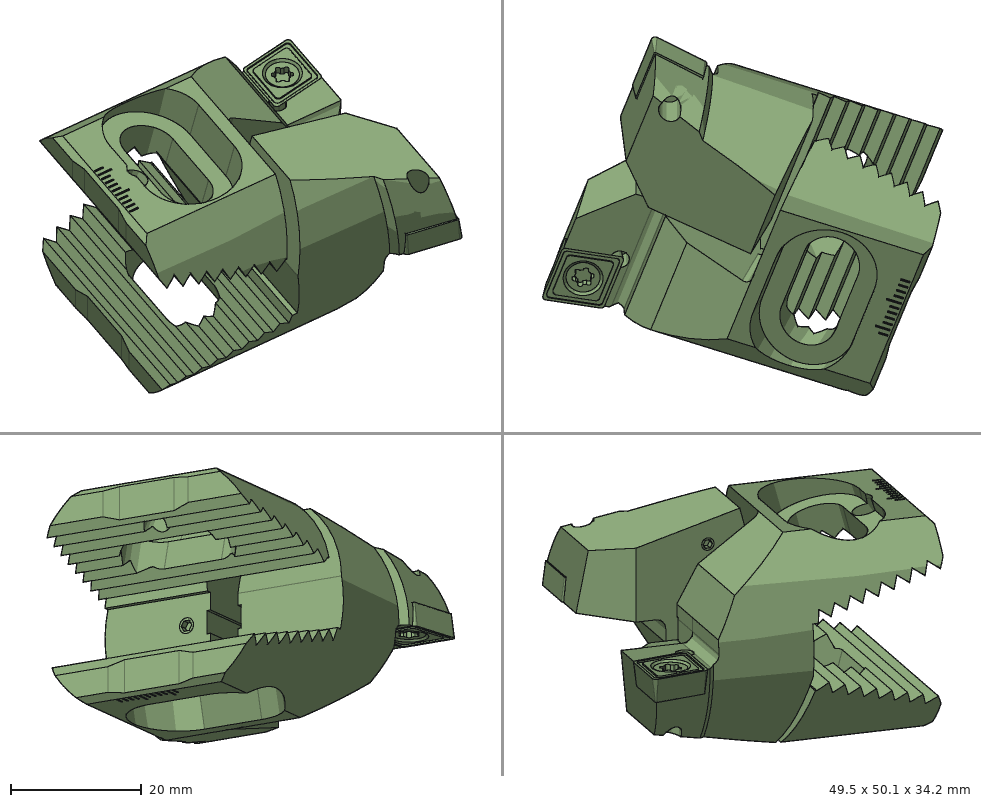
import cadquery as cq
import math


TILT = 15.0
SLOPE = math.tan(math.radians(TILT))
HALF_HEIGHT = 17.11
BODY_RADIUS = 20.95
BODY_OFFSET = 0.45
WIDE = 60.1

JAW_LENGTH = 24.3
TIP_CHAMFER = 1.0
TIP_INNER_Z = 12.0
ROOT_LINE_Z = 12.35
TOOTH_PITCH = 2.65
TOOTH_COUNT = 8
TOOTH_CREST = 0.8
TOOTH_DEPTH = 1.95
NOTCH_DEPTH = 0.4
NOTCH_HALF_BOTTOM = 4.9
NOTCH_HALF_TOP = 7.65

SLOT_X = -1.8
SLOT_Y = 14.1
SLOT_SPACING = 10.25
SLOT_RADIUS = 4.5
RECESS_RADIUS = 7.75
RECESS_DEPTH = 3.9
DRAIN_X = -0.7
DRAIN_Y = 6.85
DRAIN_Z = 15.55
DRAIN_TILT = 32.0
DRAIN_RADIUS = 2.0

MARK_COUNT = 11
MARK_PITCH = 1.0
MARK_START_X = -3.7
MARK_WIDTH = 0.2
MARK_DEPTH = 0.15
MARK_BASE_Y = 1.3
MARK_SHORT = 1.45
MARK_LONG = 2.35
LONG_MARKS = (1, 6)

ARM_GAP = 4.9
GAP_FILLET = 1.3
PICK_MARGIN = 0.5
ROOT_Y = 22.45
ROOT_TOP_Z = 4.65
ROOT_BOTTOM_Z = -3.75
ROOT_STEP = 0.9
SHOULDER = (34.45, 10.0)
GULLET_TOP = (37.95, 3.9)
GULLET_RADIUS = 1.65
FACE_RELIEF = 8.0
FACE_HEIGHT = 10.4
CORNER_CHAMFER = 7.15
GULLY_X = -6.7
GULLY_WIDTH = 2.85
GULLY_DEPTH = 1.85
CHANNEL_DEPTH = 0.6
CHANNEL_HALF_HEIGHT = GULLY_DEPTH
CHANNEL_BLIND_END = 35.05

HEAD_OUTER = (50.6, 15.0, 9.75)
HEAD_INNER = (39.85, 19.9, 2.7)
HEAD_ROOT_Y = 38.85

EDGE_X = 24.75
FIRST_EDGE_Y = 49.8
SECOND_EDGE_Y = 50.1
INSERT_OVERHANG = 0.15
INSERT_ANGLE = 80.0
INSERT_CIRCLE = 9.5
INSERT_THICK = 3.9
INSERT_CORNER = 0.6
INSERT_RELIEF = 7.0
RIM_WIDTH = 0.45
BREAKER_WIDTH = 0.7
BREAKER_DEPTH = 0.25
POCKET_EXTRA = 1.5
CORNER_RELIEF_RADIUS = 1.45
COUNTERSINK_RADIUS = 3.05
HEAD_RADIUS = 2.6
HEAD_DEPTH = 2.0
HEAD_SETBACK = 0.3
SHANK_RADIUS = 1.7
SHANK_LENGTH = 5.5
LOBE_COUNT = 6
LOBE_ORBIT = 1.3
LOBE_RADIUS = 0.4
SOCKET_DEPTH = 1.25

PLUG_LENGTH = 3.0
ROOT_PLUG_X = -6.75
ROOT_PLUG_RADIUS = 1.25
SIDE_PLUG_Y = 31.05
SIDE_PLUG_Z = 11.25
SIDE_PLUG_RADIUS = 1.0
PLUG_SOCKET_DEPTH = 1.25
PLUG_SOCKET_RATIO = 1.5


def half_turn(shape):
    return shape.rotate((0, 0, 0), (0, 1, 0), 180)


def side_prism(points, x_start, x_end):
    """Extrude an outline given in (Y, Z) from x_start to x_end."""
    return cq.Workplane("YZ", origin=(x_start, 0, 0)).polyline(points).close().extrude(x_end - x_start)


def circle_across(y, radius, x):
    """A circle square to Y, centred at x on the level of the tool axis."""
    return cq.Wire.makeCircle(radius, cq.Vector(x, y, 0), cq.Vector(0, 1, 0))


def tooth_root(index):
    root_y = index * TOOTH_PITCH
    return root_y, ROOT_LINE_Z - root_y * SLOPE


def tooth_outline():
    """Roots and crests from the jaw tip to the mouth, as (Y, Z) points."""
    points = [(0, TIP_INNER_Z)]
    for i in range(TOOTH_COUNT):
        root_y, root_z = tooth_root(i)
        if i > 0:
            points.append((root_y, root_z))
        points.append((root_y + TOOTH_CREST, root_z - TOOTH_DEPTH))
    return points


LAST_ROOT = tooth_root(TOOTH_COUNT)


def jaw_blank():
    front_foot = (JAW_LENGTH - (HALF_HEIGHT - LAST_ROOT[1]) * SLOPE, LAST_ROOT[1])
    outline = tooth_outline() + [
        LAST_ROOT,
        front_foot,
        (JAW_LENGTH, HALF_HEIGHT),
        (TIP_CHAMFER, HALF_HEIGHT),
        (0, HALF_HEIGHT - TIP_CHAMFER),
    ]
    return side_prism(outline, -WIDE / 2, WIDE / 2)


def tip_notch():
    outline = [
        (-NOTCH_HALF_TOP, 0),
        (-NOTCH_HALF_BOTTOM, NOTCH_DEPTH),
        (NOTCH_HALF_BOTTOM, NOTCH_DEPTH),
        (NOTCH_HALF_TOP, 0),
    ]
    return cq.Workplane("XY", origin=(-BODY_OFFSET, 0, 0)).polyline(outline).close().extrude(HALF_HEIGHT)


def leaning_plane(x, y, z, angle):
    """Plane whose normal leans from +Z towards +Y by the given angle in degrees."""
    lean = math.radians(angle)
    return cq.Plane(origin=(x, y, z), xDir=(1, 0, 0), normal=(0, math.sin(lean), math.cos(lean)))


def clamp_slot():
    """Stepped slot whose axis is square to the toothed face."""
    top = leaning_plane(SLOT_X, SLOT_Y, HALF_HEIGHT, TILT)
    through = cq.Workplane(top).slot2D(SLOT_SPACING + 2 * SLOT_RADIUS, 2 * SLOT_RADIUS).extrude(-HALF_HEIGHT)
    recess = (
        cq.Workplane(top)
        .workplane(offset=-RECESS_DEPTH)
        .slot2D(SLOT_SPACING + 2 * RECESS_RADIUS, 2 * RECESS_RADIUS)
        .extrude(2 * RECESS_DEPTH)
    )
    return through.union(recess)


def drain_hole():
    """Slanted hole from the slot recess out through the teeth."""
    middle = leaning_plane(DRAIN_X, DRAIN_Y, DRAIN_Z, DRAIN_TILT)
    return cq.Workplane(middle).circle(DRAIN_RADIUS).extrude(HALF_HEIGHT / 2, both=True)


def graduation():
    marks = cq.Workplane("XY")
    for i in range(MARK_COUNT):
        length = MARK_LONG if i in LONG_MARKS else MARK_SHORT
        mark = cq.Workplane("XY").box(MARK_WIDTH, length, 2 * MARK_DEPTH, centered=(True, False, True))
        marks = marks.add(mark.translate((MARK_START_X + i * MARK_PITCH, MARK_BASE_Y, HALF_HEIGHT)))
    return marks.combine()


def arm_blank(edge_y):
    end_y = edge_y - INSERT_OVERHANG
    face_foot_y = end_y - FACE_HEIGHT * math.tan(math.radians(FACE_RELIEF))
    rise = FACE_HEIGHT + ROOT_BOTTOM_Z + (face_foot_y - ROOT_Y) * SLOPE
    heel_drop = rise / (1 + SLOPE ** 2)
    heel = (ROOT_Y + heel_drop * SLOPE, ROOT_BOTTOM_Z - heel_drop)
    outline = [
        LAST_ROOT,
        (ROOT_Y - ROOT_STEP, ROOT_TOP_Z),
        (ROOT_Y, ROOT_TOP_Z),
        (ROOT_Y, ROOT_BOTTOM_Z),
        heel,
        (face_foot_y, -FACE_HEIGHT),
        (end_y, 0),
        (GULLET_TOP[0], 0),
        GULLET_TOP,
        SHOULDER,
        (JAW_LENGTH, HALF_HEIGHT),
    ]
    arm = side_prism(outline, -WIDE / 2, -ARM_GAP / 2)
    gullet_round = (
        cq.Workplane("YZ", origin=(-WIDE / 2, 0, 0))
        .moveTo(GULLET_TOP[0], 0)
        .lineTo(GULLET_TOP[0] + GULLET_RADIUS, 0)
        .radiusArc((GULLET_TOP[0], GULLET_RADIUS), GULLET_RADIUS)
        .close()
        .extrude((WIDE - ARM_GAP) / 2)
    )
    arm = arm.union(gullet_round)
    corner = (
        cq.Workplane("XY", origin=(0, 0, -HALF_HEIGHT))
        .moveTo(-ARM_GAP / 2, end_y)
        .lineTo(-ARM_GAP / 2 - CORNER_CHAMFER, end_y)
        .lineTo(-ARM_GAP / 2, end_y - CORNER_CHAMFER)
        .close()
        .extrude(2 * HALF_HEIGHT)
    )
    return arm.cut(corner)


def gully():
    """Lowered floor beside the gap, curved down from the chip floor."""
    radius = (GULLY_WIDTH ** 2 + GULLY_DEPTH ** 2) / (2 * GULLY_DEPTH)
    outline = (
        cq.Workplane("XZ", origin=(0, WIDE, 0))
        .moveTo(GULLY_X - GULLY_WIDTH, 0)
        .radiusArc((GULLY_X, -GULLY_DEPTH), -radius)
        .lineTo(0, -GULLY_DEPTH)
        .lineTo(0, GULLET_TOP[1])
        .lineTo(GULLY_X - GULLY_WIDTH, GULLET_TOP[1])
        .close()
    )
    return outline.extrude(WIDE - GULLET_TOP[0])


def coolant_channel(end_y):
    """Groove along the arm's inner face, open to the mouth."""
    groove = cq.Workplane("XY").box(
        CHANNEL_DEPTH, end_y, 2 * CHANNEL_HALF_HEIGHT, centered=(False, False, True)
    )
    return groove.translate((-ARM_GAP / 2 - CHANNEL_DEPTH, 0, 0))


def envelope():
    """Round body with the flared head at its cutting end."""
    body_end = circle_across(HEAD_ROOT_Y, BODY_RADIUS, -BODY_OFFSET)
    head_inner = circle_across(HEAD_INNER[0], HEAD_INNER[1], -HEAD_INNER[2])
    head_outer = circle_across(HEAD_OUTER[0], HEAD_OUTER[1], -HEAD_OUTER[2])
    body = cq.Workplane("XZ", origin=(-BODY_OFFSET, 0, 0)).circle(BODY_RADIUS).extrude(-HEAD_ROOT_Y)
    step = cq.Solid.makeLoft([body_end, head_inner], True)
    head = cq.Solid.makeLoft([head_inner, head_outer], True)
    return body.union(cq.Workplane(step)).union(cq.Workplane(head))


ANGLE = math.radians(INSERT_ANGLE)
INSERT_SIDE = INSERT_CIRCLE / math.sin(ANGLE)


def insert_centre(edge_y):
    sharp_x = -EDGE_X + INSERT_CORNER * (1 - 1 / math.tan(ANGLE / 2))
    x = sharp_x + (INSERT_SIDE + INSERT_SIDE * math.cos(ANGLE)) / 2
    return x, edge_y - INSERT_CIRCLE / 2


def rhombus(inset=0.0, extra=0.0):
    """Rhombus about the insert centre; extra grows it away from its inner corner only."""
    base = (INSERT_CIRCLE - 2 * inset) / math.sin(ANGLE)
    side = base + extra / math.sin(ANGLE)
    inner_x = base * (1 + math.cos(ANGLE)) / 2
    inner_y = inset - INSERT_CIRCLE / 2
    outer_x = inner_x - side * math.cos(ANGLE)
    outer_y = inner_y + side * math.sin(ANGLE)
    return [
        (inner_x, inner_y),
        (outer_x, outer_y),
        (outer_x - side, outer_y),
        (inner_x - side, inner_y),
    ]


def rounded_rhombus(inset, height, taper=0.0):
    corners = rhombus(inset)
    sketch = cq.Sketch().polygon(corners + corners[:1]).vertices().fillet(INSERT_CORNER)
    return cq.Workplane("XY").placeSketch(sketch).extrude(height, taper=taper)


def make_insert(edge_y):
    groove = rounded_rhombus(RIM_WIDTH, -BREAKER_DEPTH).cut(
        rounded_rhombus(RIM_WIDTH + BREAKER_WIDTH, -BREAKER_DEPTH)
    )
    body = rounded_rhombus(0, -INSERT_THICK, INSERT_RELIEF).cut(groove)
    body = body.cut(screw_blank(COUNTERSINK_RADIUS, 0))
    x, y = insert_centre(edge_y)
    return body.translate((x, y, 0))


def insert_pocket(edge_y):
    seat = (
        cq.Workplane("XY")
        .polyline(rhombus(extra=POCKET_EXTRA))
        .close()
        .extrude(-INSERT_THICK, taper=INSERT_RELIEF)
    )
    corner_x, corner_y = rhombus()[0]
    corner_relief = (
        cq.Workplane("XY")
        .center(corner_x - INSERT_CORNER, corner_y + INSERT_CORNER)
        .circle(CORNER_RELIEF_RADIUS)
        .extrude(-INSERT_THICK)
    )
    screw_hole = cq.Workplane("XY").circle(SHANK_RADIUS).extrude(-HALF_HEIGHT)
    x, y = insert_centre(edge_y)
    return seat.union(corner_relief).union(screw_hole).translate((x, y, 0))


def screw_blank(top_radius, top_z):
    """Countersunk head with a plain shank, turned about Z."""
    return (
        cq.Workplane("XZ")
        .moveTo(0, top_z)
        .lineTo(top_radius, top_z)
        .lineTo(SHANK_RADIUS, -HEAD_DEPTH)
        .lineTo(SHANK_RADIUS, -SHANK_LENGTH)
        .lineTo(0, -SHANK_LENGTH)
        .close()
        .revolve(360, (0, 0, 0), (0, 1, 0))
    )


def make_screw(edge_y):
    socket = cq.Workplane("XY").circle(LOBE_ORBIT).extrude(-HEAD_SETBACK - SOCKET_DEPTH)
    lobes = (
        cq.Workplane("XY")
        .polarArray(LOBE_ORBIT, 0, 360, LOBE_COUNT)
        .circle(LOBE_RADIUS)
        .extrude(-HEAD_SETBACK - SOCKET_DEPTH)
    )
    x, y = insert_centre(edge_y)
    screw = screw_blank(HEAD_RADIUS, -HEAD_SETBACK).cut(socket.union(lobes))
    return screw.translate((x, y, 0))


def plug_blank(plane, radius):
    """Plain cylinder running back from the origin of the given plane."""
    return cq.Workplane(plane).circle(radius).extrude(-PLUG_LENGTH)


def make_plug(plane, radius):
    socket = cq.Workplane(plane).polygon(6, PLUG_SOCKET_RATIO * radius).extrude(-PLUG_SOCKET_DEPTH)
    return plug_blank(plane, radius).cut(socket)


ROOT_PLUG_PLANE = cq.Plane(origin=(ROOT_PLUG_X, ROOT_Y, 0), xDir=(1, 0, 0), normal=(0, -1, 0))
SIDE_PLUG_PLANE = cq.Plane(
    origin=(-ARM_GAP / 2, SIDE_PLUG_Y, -SIDE_PLUG_Z), xDir=(0, 1, 0), normal=(1, 0, 0)
)


def make_holder(edge_y, extra_cuts):
    holder = jaw_blank().union(arm_blank(edge_y))
    front_corner = cq.selectors.BoxSelector(
        (-ARM_GAP / 2 - PICK_MARGIN, ROOT_Y, LAST_ROOT[1]),
        (-ARM_GAP / 2 + PICK_MARGIN, JAW_LENGTH, HALF_HEIGHT),
    )
    holder = holder.edges(front_corner).fillet(GAP_FILLET)
    holder = holder.intersect(envelope())
    common_cuts = [tip_notch(), clamp_slot(), graduation(), insert_pocket(edge_y)]
    for tool in common_cuts + extra_cuts:
        holder = holder.cut(tool)
    return holder


upper_holder = make_holder(
    FIRST_EDGE_Y,
    [
        drain_hole(),
        gully(),
        coolant_channel(GULLET_TOP[0]),
        plug_blank(ROOT_PLUG_PLANE, ROOT_PLUG_RADIUS),
    ],
)
lower_holder = half_turn(
    make_holder(
        SECOND_EDGE_Y,
        [coolant_channel(CHANNEL_BLIND_END), plug_blank(SIDE_PLUG_PLANE, SIDE_PLUG_RADIUS)],
    )
)
root_plug = make_plug(ROOT_PLUG_PLANE, ROOT_PLUG_RADIUS)
side_plug = half_turn(make_plug(SIDE_PLUG_PLANE, SIDE_PLUG_RADIUS))

inserts = []
screws = []
for edge, place in ((FIRST_EDGE_Y, lambda shape: shape), (SECOND_EDGE_Y, half_turn)):
    inserts.append(place(make_insert(edge)).val())
    screws.append(place(make_screw(edge)).val())

result = cq.Compound.makeCompound([
    upper_holder.val(),
    lower_holder.val(),
    *inserts,
    *screws,
    root_plug.val(),
    side_plug.val(),
])